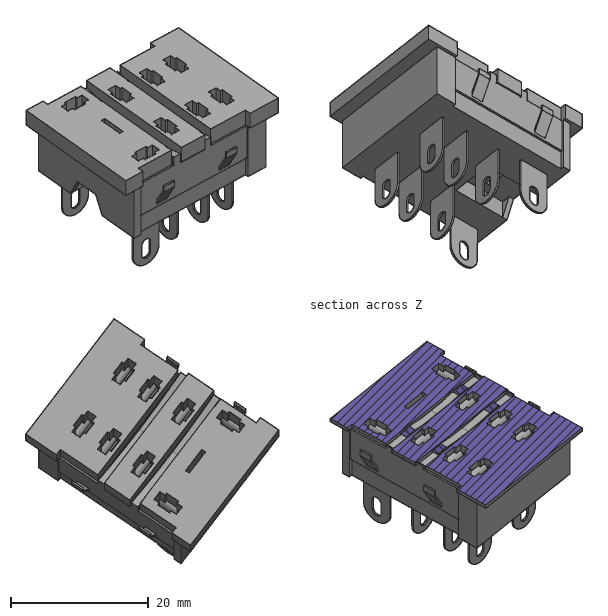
import cadquery as cq
import math


LENGTH = 29.5
FLANGE_WIDTH = 22.0
FLANGE_HEIGHT = 2.75
BODY_LENGTH = 25.5
BODY_WIDTH = 21.12
HOUSING_HEIGHT = 11.98
SEAT_Z = HOUSING_HEIGHT - FLANGE_HEIGHT

SHEET = 0.3
BRACKET_HALF_WIDTH = 10.3
BRACKET_INNER = BRACKET_HALF_WIDTH - SHEET
BRACKET_BOTTOM = 3.3
RECESS_FRONT = -11.45
RECESS_BACK = 9.25
RECESS_LENGTH = RECESS_BACK - RECESS_FRONT
RECESS_MID_Y = (RECESS_FRONT + RECESS_BACK) / 2

BLOCK_MID_Y = -1.25
BLOCK_LENGTH = 4.55
BLOCK_WIDTH = 20.95
GROOVE_WIDTH = 1.5
STRAP_WIDTH = 1.2
STRAP_GAP = 0.1
STRAP_DROP = 1.2
STRAP_END_Z = HOUSING_HEIGHT - STRAP_DROP

TAB_WIDTH = 2.0
TAB_REACH = 12.0
TAB_ROOT_Z = 3.84
TAB_INNER_ROOT_Z = 4.57
TAB_KNEE_Z = 7.05
TAB_TOP_Z = 8.05
TAB_CENTRES_Y = (-7.2, 4.87)

CONTACT_MID_X = 0.2
ROW_PITCH_X = 10.03
ROW_CENTRES_Y = (8.8, 4.2, -1.83)
COIL_PITCH_X = 15.58
COIL_CENTRE_Y = -8.3
SLOT_LENGTH = 3.98
SLOT_WIDTH = 1.45
SLOT_MID_LENGTH = 2.1
SLOT_MID_WIDTH = 2.2
SLOT_DEPTH = 4.13
LEAF_RADIUS = 1.0
TERMINAL_WIDTH = 5.02
TERMINAL_LENGTH = 8.53
EYE_WIDTH = 1.65
EYE_LENGTH = 3.48
EYE_ABOVE_TIP = 2.92

VENT_LENGTH = 4.0
VENT_WIDTH = 0.65
VENT_Y = -7.75
END_WALL = 0.85
CAVITY_BACK = -2.95
CAVITY_WIDTH = 6.95
CAVITY_HEIGHT = 3.07
NOTCH_TOP_WIDTH = 4.07


def box(x_size, y_size, z_low, z_high, x=0.0, y=0.0):
    """Block centred at (x, y) between two heights."""
    return cq.Workplane("XY").box(x_size, y_size, z_high - z_low, centered=(True, True, False)).translate(
        (x, y, z_low)
    )


def make_shell():
    """Flange and body, with the side recesses, centre block, grooves and underside cavity."""
    shell = box(BODY_WIDTH, BODY_LENGTH, 0, SEAT_Z).union(
        box(FLANGE_WIDTH, LENGTH, SEAT_Z, HOUSING_HEIGHT)
    )

    depth = FLANGE_WIDTH / 2 - BRACKET_INNER
    for side in (-1, 1):
        x = side * (BRACKET_INNER + depth / 2)
        shell = shell.cut(box(depth, RECESS_LENGTH, 0, HOUSING_HEIGHT, x, RECESS_MID_Y))

    groove_span = BLOCK_LENGTH + 2 * GROOVE_WIDTH
    shell = shell.cut(box(FLANGE_WIDTH, groove_span, SEAT_Z, HOUSING_HEIGHT, y=BLOCK_MID_Y))
    shell = shell.union(box(BLOCK_WIDTH, BLOCK_LENGTH, SEAT_Z, HOUSING_HEIGHT, y=BLOCK_MID_Y))

    cavity_front = END_WALL - BODY_LENGTH / 2
    cavity_length = CAVITY_BACK - cavity_front
    cavity_mid_y = (CAVITY_BACK + cavity_front) / 2
    shell = shell.cut(box(CAVITY_WIDTH, cavity_length, 0, CAVITY_HEIGHT, y=cavity_mid_y))
    notch = (
        cq.Workplane("XZ", origin=(0, -BODY_LENGTH / 2, 0))
        .polyline([
            (-CAVITY_WIDTH / 2, 0),
            (CAVITY_WIDTH / 2, 0),
            (NOTCH_TOP_WIDTH / 2, CAVITY_HEIGHT),
            (-NOTCH_TOP_WIDTH / 2, CAVITY_HEIGHT),
        ])
        .close()
        .extrude(-END_WALL)
    )
    shell = shell.cut(notch)

    return shell.cut(box(VENT_LENGTH, VENT_WIDTH, CAVITY_HEIGHT, HOUSING_HEIGHT, y=VENT_Y))


def make_contact_slot():
    """Cross-shaped slot at the origin along X; its floor is two rolled leaves with a flat between."""
    floor_z = HOUSING_HEIGHT - SLOT_DEPTH
    slot = box(SLOT_LENGTH, SLOT_WIDTH, floor_z, HOUSING_HEIGHT).union(
        box(SLOT_MID_LENGTH, SLOT_MID_WIDTH, floor_z, HOUSING_HEIGHT)
    )
    for side in (-1, 1):
        leaf_y = side * (LEAF_RADIUS + SHEET / 2)
        leaf = (
            cq.Workplane("YZ", origin=(-SLOT_LENGTH / 2, 0, 0))
            .center(leaf_y, floor_z)
            .circle(LEAF_RADIUS)
            .extrude(SLOT_LENGTH)
        )
        slot = slot.cut(leaf)
    return slot


def make_terminal():
    """Round-ended solder tag at the origin, in the XZ plane, hanging below the housing."""
    tip_radius = TERMINAL_WIDTH / 2
    straight_end = tip_radius - TERMINAL_LENGTH
    return (
        cq.Workplane("XZ", origin=(0, SHEET / 2, 0))
        .moveTo(-tip_radius, 0)
        .lineTo(-tip_radius, straight_end)
        .threePointArc((0, -TERMINAL_LENGTH), (tip_radius, straight_end))
        .lineTo(tip_radius, 0)
        .close()
        .extrude(SHEET)
        .faces("<Y")
        .workplane(origin=(0, 0, EYE_ABOVE_TIP - TERMINAL_LENGTH))
        .slot2D(EYE_LENGTH, EYE_WIDTH, 90)
        .cutThruAll()
    )


def make_housing():
    """Shell with all contact slots cut and all terminals attached."""
    housing = make_shell()
    places = []
    for side in (-1, 1):
        row_x = CONTACT_MID_X + side * ROW_PITCH_X / 2
        places += [(row_x, y, 0) for y in ROW_CENTRES_Y]
        places.append((CONTACT_MID_X + side * COIL_PITCH_X / 2, COIL_CENTRE_Y, 90))
    slot = make_contact_slot()
    terminal = make_terminal()
    for x, y, turn in places:
        housing = housing.cut(slot.rotate((0, 0, 0), (0, 0, 1), turn).translate((x, y, 0)))
        housing = housing.union(terminal.rotate((0, 0, 0), (0, 0, 1), turn).translate((x, y, 0)))
    return housing


def make_strap_half():
    """Right half of a sagging strap with its upright end, as a strip centred on Y = 0."""
    top_sag = STRAP_END_Z - SEAT_Z - SHEET
    radius = (BRACKET_HALF_WIDTH**2 + top_sag**2) / (2 * top_sag)
    arc_centre_z = SEAT_Z + SHEET + radius

    def arc_point(x, arc_radius):
        return (x, arc_centre_z - math.sqrt(arc_radius**2 - x**2))

    under_radius = radius + SHEET
    return (
        cq.Workplane("XZ", origin=(0, STRAP_WIDTH / 2, 0))
        .moveTo(0, SEAT_Z)
        .threePointArc(arc_point(BRACKET_INNER / 2, under_radius), arc_point(BRACKET_INNER, under_radius))
        .lineTo(BRACKET_INNER, SEAT_Z)
        .lineTo(BRACKET_HALF_WIDTH, SEAT_Z)
        .lineTo(BRACKET_HALF_WIDTH, STRAP_END_Z)
        .threePointArc(arc_point(BRACKET_HALF_WIDTH / 2, radius), (0, SEAT_Z + SHEET))
        .close()
        .extrude(STRAP_WIDTH)
    )


def make_tab():
    """Bent spring tab on the right side plate, as a strip centred on Y = 0."""
    return (
        cq.Workplane("XZ", origin=(0, TAB_WIDTH / 2, 0))
        .polyline([
            (BRACKET_HALF_WIDTH, TAB_ROOT_Z),
            (TAB_REACH, TAB_KNEE_Z),
            (TAB_REACH, TAB_TOP_Z),
            (TAB_REACH - SHEET, TAB_TOP_Z),
            (TAB_REACH - SHEET, TAB_KNEE_Z),
            (BRACKET_HALF_WIDTH, TAB_INNER_ROOT_Z),
        ])
        .close()
        .extrude(TAB_WIDTH)
    )


def make_bracket():
    """Two side plates with spring tabs, joined by two straps; each half mirrors the other."""
    plate_x = BRACKET_HALF_WIDTH - SHEET / 2
    half = box(SHEET, RECESS_LENGTH, BRACKET_BOTTOM, SEAT_Z, plate_x, RECESS_MID_Y)
    tab = make_tab()
    for y in TAB_CENTRES_Y:
        half = half.union(tab.translate((0, y, 0)))
    strap_half = make_strap_half()
    strap_offset = BLOCK_LENGTH / 2 + STRAP_GAP + STRAP_WIDTH / 2
    for side in (-1, 1):
        half = half.union(strap_half.translate((0, BLOCK_MID_Y + side * strap_offset, 0)))
    return half.union(half.mirror("YZ"), clean=False)


housing = make_housing()
bracket = make_bracket()
result = cq.Compound.makeCompound([housing.solids().val(), bracket.solids().val()])